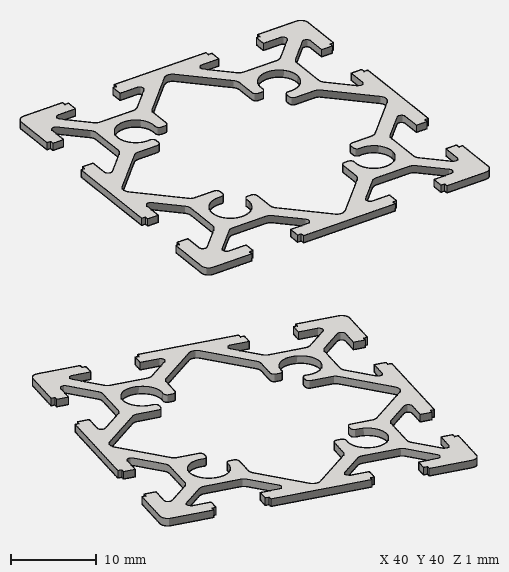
import cadquery as cq
import math

width = 40.0
thickness = 1.0
corner_radius = 1.0

half = width / 2
bore_offset = width / 4
bore_diameter = 5.0
bore_radius = bore_diameter / 2

mouth_width = 6.2
mouth_outer_width = 7.2
mouth_step = (mouth_outer_width - mouth_width) / 2
lip_thickness = 2.0
slot_depth = 6.0
slot_corner_radius = 0.5
lip_y = half - lip_thickness
floor_y = half - slot_depth

web_thickness = 1.8
web_blend_radius = 1.0
core_half = floor_y - bore_offset
web_shift = web_thickness / math.sqrt(2)

cavity_point = half - web_shift
cavity_corner_radius = 1.0
arm_face = bore_offset - core_half
arm_reach = 0.9
arm_tip_radius = 0.5

SIDE_ANGLES = (0, 90, 180, 270)


def turned(body, angle):
    return body.rotate((0, 0, 0), (0, 0, 1), angle)


def extrude_polygon(points):
    return cq.Workplane("XY").polyline(points).close().extrude(thickness)


def make_box(x_min, x_max, y_min, y_max):
    return extrude_polygon([(x_min, y_min), (x_max, y_min), (x_max, y_max), (x_min, y_max)])


def fillet_upright_edge(body, x, y, radius):
    edge = cq.selectors.NearestToPointSelector((x, y, thickness / 2))
    return body.edges(edge).fillet(radius)


def make_plate():
    plate = make_box(-half, half, -half, half)
    return plate.edges("|Z").fillet(corner_radius)


def make_cavity():
    """Diamond between the diagonal webs, with its four points rounded."""
    diamond = extrude_polygon([(cavity_point, 0), (0, cavity_point), (-cavity_point, 0), (0, -cavity_point)])
    return diamond.edges("|Z").fillet(cavity_corner_radius)


def make_bore():
    return cq.Workplane("XY").center(bore_offset, bore_offset).circle(bore_radius).extrude(thickness)


def make_core():
    """Square wall around the +X +Y bore, opened at its inner corner to leave two round-tipped arms."""
    core_max = bore_offset + core_half
    arm_tip = bore_offset - arm_reach
    block = make_box(arm_face, core_max, arm_face, core_max)
    opening = make_box(0, arm_tip, 0, arm_tip)
    core = block.cut(make_bore()).cut(opening)
    bore_edge = bore_offset - math.sqrt(bore_radius ** 2 - arm_reach ** 2)
    for side in (arm_face, bore_edge):
        core = fillet_upright_edge(core, arm_tip, side, arm_tip_radius)
        core = fillet_upright_edge(core, side, arm_tip, arm_tip_radius)
    return core


def make_t_slot(center_x):
    """Slot open at +Y: stepped mouth, then a chamber narrowing at 45 degrees to its floor."""
    floor_half = core_half - web_shift
    chamber_half = floor_half + lip_y - floor_y
    chamber = extrude_polygon([
        (center_x - floor_half, floor_y),
        (center_x + floor_half, floor_y),
        (center_x + chamber_half, lip_y),
        (center_x - chamber_half, lip_y),
    ])
    chamber = chamber.edges("|Z and >Y").fillet(slot_corner_radius)
    chamber = chamber.edges("|Z and <Y").fillet(web_blend_radius)
    mouth_half = mouth_width / 2
    step_half = mouth_outer_width / 2
    mouth = make_box(center_x - mouth_half, center_x + mouth_half, lip_y, half)
    step = make_box(center_x - step_half, center_x + step_half, half - mouth_step, half)
    return chamber.union(mouth).union(step)


result = make_plate().cut(make_cavity())
core = make_core()
bore = make_bore()
for angle in SIDE_ANGLES:
    result = result.cut(turned(bore, angle)).union(turned(core, angle))

blend_y = cavity_point - arm_face
for sign_x in (-1, 1):
    for sign_y in (-1, 1):
        result = fillet_upright_edge(result, sign_x * arm_face, sign_y * blend_y, web_blend_radius)
        result = fillet_upright_edge(result, sign_x * blend_y, sign_y * arm_face, web_blend_radius)

for slot_x in (-bore_offset, bore_offset):
    slot = make_t_slot(slot_x)
    for angle in SIDE_ANGLES:
        result = result.cut(turned(slot, angle))